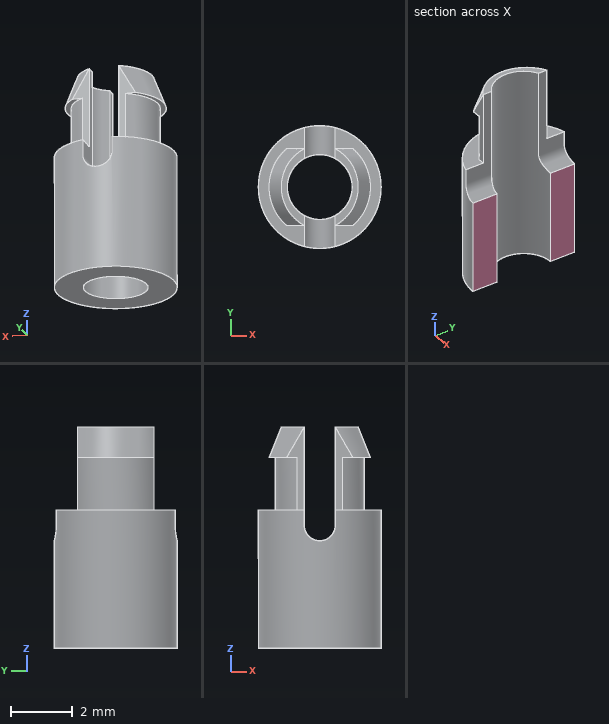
import cadquery as cq
import math

body_diameter = 4.0
body_height = 4.5
bore_diameter = 2.1

total_height = 7.2
barb_height = 1.0
barb_base_z = total_height - barb_height
neck_radius = 1.45
barb_base_radius = 1.65
barb_tip_reach = 1.25
finger_half_width = 1.25

slot_width = 1.0
slot_radius = slot_width / 2
slot_bottom_z = 3.5
slot_center_z = slot_bottom_z + slot_radius


def make_body():
    return cq.Workplane("XY").circle(body_diameter / 2).extrude(body_height)


def make_neck():
    """Round neck trimmed to the finger width by two flats."""
    neck_plane = cq.Workplane("XY").workplane(offset=body_height)
    neck_height = barb_base_z - body_height
    neck = neck_plane.circle(neck_radius).extrude(neck_height)
    flats = neck_plane.rect(2 * neck_radius, 2 * finger_half_width).extrude(neck_height)
    return neck.intersect(flats)


def arc_section(workplane, corner_x, reach):
    """Closed section: straight along the YZ plane and both flats, with an arc outside."""
    return (
        workplane.moveTo(0, -finger_half_width)
        .lineTo(corner_x, -finger_half_width)
        .threePointArc((reach, 0), (corner_x, finger_half_width))
        .lineTo(0, finger_half_width)
        .close()
    )


def make_barb():
    """Barb on the +X finger, tapering from a wide base arc to a narrower tip arc."""
    base_corner_x = math.sqrt(barb_base_radius**2 - finger_half_width**2)
    base = arc_section(cq.Workplane("XY").workplane(offset=barb_base_z), base_corner_x, barb_base_radius)
    tip = arc_section(base.workplane(offset=barb_height), slot_radius, barb_tip_reach)
    return tip.loft(ruled=True)


def make_slot():
    """Slot along Y, open at the top, with a half-round floor."""
    return (
        cq.Workplane("XZ")
        .moveTo(-slot_radius, total_height)
        .lineTo(-slot_radius, slot_center_z)
        .threePointArc((0, slot_bottom_z), (slot_radius, slot_center_z))
        .lineTo(slot_radius, total_height)
        .close()
        .extrude(body_diameter, both=True)
    )


def make_bore():
    return cq.Workplane("XY").circle(bore_diameter / 2).extrude(total_height)


barb = make_barb()
result = make_body().union(make_neck()).union(barb).union(barb.mirror("YZ"))
result = result.cut(make_bore()).cut(make_slot())